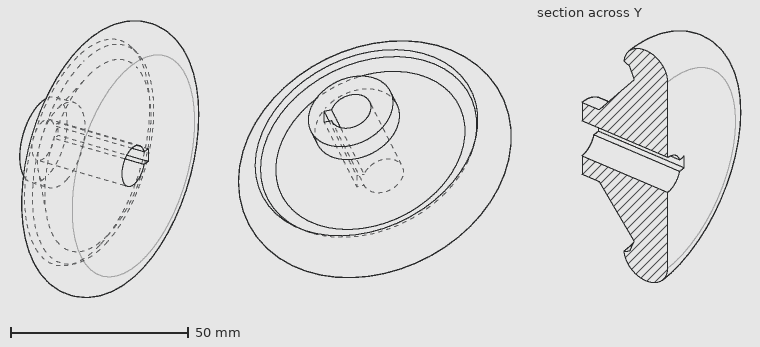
import cadquery as cq
import math

total_length = 30.0
outer_radius = 40.0
rim_width = 15.4
hub_radius = 25.0 / 2
hub_length = 6.0
bore_radius = 6.0
keyway_width = 4.0
keyway_reach = 7.8

recess_mouth_radius = 32.95
recess_step_radius = 32.0
recess_step_depth = 2.0
web_radius = 28.0
web_end_x = 18.15

rim_radius = rim_width / 2
rim_center_x = total_length - rim_radius
rim_center_radius = outer_radius - rim_radius
rim_front_x = total_length - rim_width
mouth_offset = recess_mouth_radius - rim_center_radius
mouth_x = rim_center_x - math.sqrt(rim_radius**2 - mouth_offset**2)


def make_wheel():
    """Solid of revolution: hub, conical web, recess and rounded rim."""
    profile = (
        cq.Workplane("XY")
        .moveTo(0, 0)
        .lineTo(0, hub_radius)
        .lineTo(hub_length, hub_radius)
        .lineTo(web_end_x, web_radius)
        .lineTo(rim_front_x + recess_step_depth, recess_step_radius)
        .lineTo(mouth_x, recess_mouth_radius)
        .threePointArc((rim_center_x, outer_radius), (total_length, rim_center_radius))
        .lineTo(total_length, 0)
        .close()
    )
    return profile.revolve(360, (0, 0, 0), (1, 0, 0))


def make_keyed_bore():
    """Through bore with a rectangular keyway on the +Y side."""
    bore = cq.Workplane("YZ").circle(bore_radius).extrude(total_length)
    keyway = cq.Workplane("XY").box(
        total_length, keyway_reach, keyway_width, centered=(False, False, True)
    )
    return bore.union(keyway)


result = make_wheel().cut(make_keyed_bore())